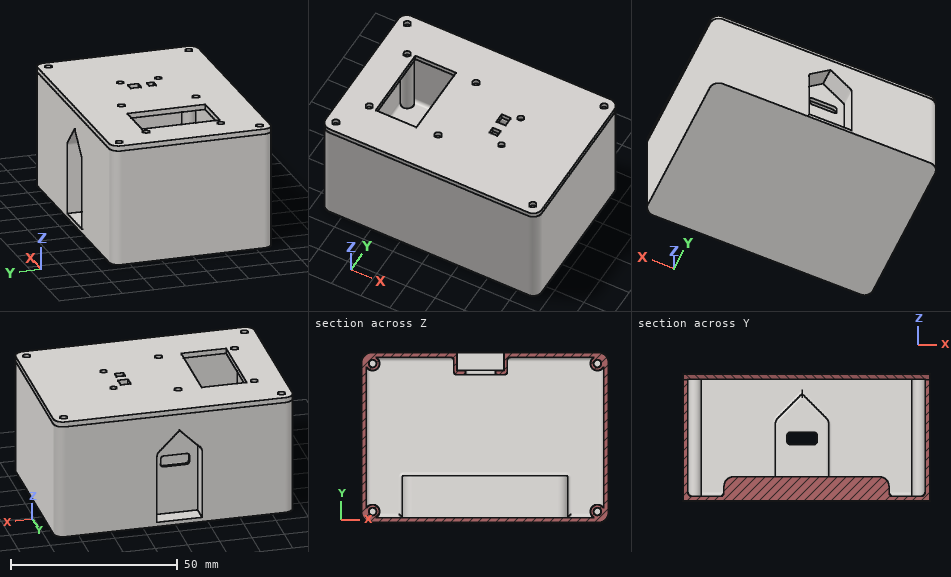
import cadquery as cq

LENGTH = 74.2
WIDTH = 51.1
HEIGHT = 38.2
CORNER_RADIUS = 3.0
LID_THICKNESS = 1.6
BOX_HEIGHT = HEIGHT - LID_THICKNESS

WALL = 1.5
FLOOR = 1.5
INNER_CORNER_RADIUS = CORNER_RADIUS - WALL
BASE_FILLET = 1.25
INNER_BACK = WIDTH / 2 - WALL
INNER_FRONT = -INNER_BACK

RECESS_X = -1.3
RECESS_WIDTH = 14.0
RECESS_SKIN = 1.05
HOUSING_WIDTH = RECESS_WIDTH + 2 * RECESS_SKIN
HOUSING_FACE_Y = 18.85
HOUSING_FACE_THICKNESS = 1.3
EAVES_Z = 24.2
HOUSING_EAVES_RADIUS = 3.0
RECESS_EAVES_RADIUS = HOUSING_EAVES_RADIUS - RECESS_SKIN
HOUSING_FILLET = 0.9

SLOT_WIDTH = 9.0
SLOT_HEIGHT = 3.6
SLOT_Z = 18.85
SLOT_RADIUS = 1.05
SLOT_RIM_FILLET = 0.5

BLOCK_LENGTH = 49.7
BLOCK_FACE_Y = -11.4
BLOCK_HEIGHT = 5.9
BLOCK_END_RADIUS = 3.0
BLOCK_TOP_FILLET = 0.5
BLOCK_FOOT_FILLET = 1.1

SCREW_DIAMETER = 2.2
SCREW_INSET = 3.35
POST_DIAMETER = 4.2

WINDOW_SIZE = (13.95, 24.65)
WINDOW_X = -18.55
DISPLAY_HOLE_X = -16.25
DISPLAY_HOLE_SPACING = 23.6
SENSOR_HOLE_DIAMETER = 2.0
SENSOR_HOLE_X = 14.1
SENSOR_HOLE_SPACING = 12.0
SENSOR_X = 9.95
LARGE_OPENING_SIZE = (3.1, 3.35)
LARGE_OPENING_Y = 2.9
SMALL_OPENING_SIZE = (2.7, 2.15)
SMALL_OPENING_Y = -2.45

PICK = 0.1


def rounded_block(length, width, height, radius):
    """Block centred on the Z axis with rounded upright edges."""
    block = cq.Workplane("XY").box(length, width, height, centered=(True, True, False))
    return block.edges("|Z").fillet(radius)


def cylinders(points, diameter, height):
    return cq.Workplane("XY").pushPoints(points).circle(diameter / 2).extrude(height)


def rectangle_corners(x_center, x_spacing, y_spacing):
    """Corners of a rectangle whose centre is on the X axis."""
    return [
        (x_center + x_side * x_spacing / 2, y_side * y_spacing / 2)
        for x_side in (-1, 1)
        for y_side in (-1, 1)
    ]


def screw_points():
    return rectangle_corners(0, LENGTH - 2 * SCREW_INSET, WIDTH - 2 * SCREW_INSET)


def gabled_prism(width, eaves_radius, y_start, y_end):
    """Prism along Y, from the floor up to a 45 degree gable with rounded eaves."""
    half = width / 2
    prism = (
        cq.Workplane("XZ", origin=(RECESS_X, y_end, 0))
        .moveTo(-half, FLOOR)
        .lineTo(half, FLOOR)
        .lineTo(half, EAVES_Z)
        .lineTo(0, EAVES_Z + half)
        .lineTo(-half, EAVES_Z)
        .close()
        .extrude(y_end - y_start)
    )
    eaves = cq.selectors.BoxSelector(
        (RECESS_X - width, y_start, EAVES_Z - PICK),
        (RECESS_X + width, y_end, EAVES_Z + PICK),
    )
    return prism.edges("|Y").edges(eaves).fillet(eaves_radius)


def make_recess_housing():
    """Solid on the inside of the +Y wall, rounded around its face and where it meets the wall."""
    wall_middle = INNER_BACK + WALL / 2
    housing = gabled_prism(HOUSING_WIDTH, HOUSING_EAVES_RADIUS, HOUSING_FACE_Y, wall_middle)
    face_edges = housing.faces("<Y").edges(
        cq.selectors.BoxSelector(
            (RECESS_X - HOUSING_WIDTH, HOUSING_FACE_Y - PICK, FLOOR + PICK),
            (RECESS_X + HOUSING_WIDTH, HOUSING_FACE_Y + PICK, BOX_HEIGHT),
        )
    )
    housing = face_edges.fillet(HOUSING_FILLET)

    strip_length = 2 * HOUSING_WIDTH
    wall_strip = (
        cq.Workplane("XY", origin=(RECESS_X, INNER_BACK, FLOOR))
        .box(strip_length, WALL / 2, BOX_HEIGHT - FLOOR, centered=(True, False, False))
    )
    housing = housing.union(wall_strip)
    wall_joint = cq.selectors.BoxSelector(
        (RECESS_X - HOUSING_WIDTH / 2 - PICK, INNER_BACK - PICK, FLOOR + PICK),
        (RECESS_X + HOUSING_WIDTH / 2 + PICK, INNER_BACK + PICK, BOX_HEIGHT - PICK),
    )
    return housing.edges(wall_joint).fillet(HOUSING_FILLET)


def make_recess():
    """Gabled hollow behind the face of the housing, open to the outside."""
    recess_floor = HOUSING_FACE_Y + HOUSING_FACE_THICKNESS
    return gabled_prism(RECESS_WIDTH, RECESS_EAVES_RADIUS, recess_floor, WIDTH / 2)


def cut_slot(box):
    """Cut the connector slot and round its inner rim."""
    slot = (
        cq.Workplane("XZ", origin=(RECESS_X, INNER_BACK, SLOT_Z))
        .rect(SLOT_WIDTH, SLOT_HEIGHT)
        .extrude(INNER_BACK - HOUSING_FACE_Y)
        .edges("|Y")
        .fillet(SLOT_RADIUS)
    )
    rim = cq.selectors.BoxSelector(
        (RECESS_X - SLOT_WIDTH, HOUSING_FACE_Y - PICK, SLOT_Z - SLOT_HEIGHT),
        (RECESS_X + SLOT_WIDTH, HOUSING_FACE_Y + PICK, SLOT_Z + SLOT_HEIGHT),
    )
    return box.cut(slot).edges(rim).fillet(SLOT_RIM_FILLET)


def make_floor_block():
    """Raised block with rounded ends and a filleted foot, on a strip of the floor."""
    depth = BLOCK_FACE_Y - INNER_FRONT
    block = cq.Workplane("XY").box(BLOCK_LENGTH, depth, BLOCK_HEIGHT, centered=(True, False, False))
    block = block.edges("|Y and >Z").fillet(BLOCK_END_RADIUS)
    block = block.faces(">Y").edges("not <Z").fillet(BLOCK_TOP_FILLET)

    floor_strip = (
        cq.Workplane("XY", origin=(0, 0, -FLOOR))
        .box(LENGTH - 2 * WALL, 2 * depth, FLOOR, centered=(True, False, False))
    )
    foot = cq.selectors.BoxSelector((-BLOCK_LENGTH, PICK, -PICK), (BLOCK_LENGTH, depth + PICK, PICK))
    block = block.union(floor_strip).edges(foot).fillet(BLOCK_FOOT_FILLET)
    return block.translate((0, INNER_FRONT, FLOOR))


def add_screw_posts(box):
    """Add a post in each corner, with a screw hole down to the floor."""
    post_height = BOX_HEIGHT - FLOOR
    posts = cylinders(screw_points(), POST_DIAMETER, post_height).translate((0, 0, FLOOR))
    holes = cylinders(screw_points(), SCREW_DIAMETER, post_height).translate((0, 0, FLOOR))
    return box.union(posts).cut(holes)


def make_box():
    box = rounded_block(LENGTH, WIDTH, BOX_HEIGHT, CORNER_RADIUS)
    cavity = rounded_block(LENGTH - 2 * WALL, WIDTH - 2 * WALL, BOX_HEIGHT, INNER_CORNER_RADIUS)
    cavity = cavity.faces("<Z").edges().fillet(BASE_FILLET)
    box = box.cut(cavity.translate((0, 0, FLOOR)))
    box = box.union(make_recess_housing()).union(make_floor_block())
    box = cut_slot(box.cut(make_recess()))
    return add_screw_posts(box)


def lid_opening(x, y, size):
    return cq.Workplane("XY").center(x, y).rect(*size).extrude(LID_THICKNESS)


def make_lid():
    lid = rounded_block(LENGTH, WIDTH, LID_THICKNESS, CORNER_RADIUS)

    display_points = rectangle_corners(DISPLAY_HOLE_X, DISPLAY_HOLE_SPACING, DISPLAY_HOLE_SPACING)
    sensor_points = [(SENSOR_HOLE_X, side * SENSOR_HOLE_SPACING / 2) for side in (-1, 1)]
    lid = lid.cut(cylinders(screw_points() + display_points, SCREW_DIAMETER, LID_THICKNESS))
    lid = lid.cut(cylinders(sensor_points, SENSOR_HOLE_DIAMETER, LID_THICKNESS))

    lid = lid.cut(lid_opening(WINDOW_X, 0, WINDOW_SIZE))
    lid = lid.cut(lid_opening(SENSOR_X, LARGE_OPENING_Y, LARGE_OPENING_SIZE))
    lid = lid.cut(lid_opening(SENSOR_X, SMALL_OPENING_Y, SMALL_OPENING_SIZE))
    return lid.translate((0, 0, BOX_HEIGHT))


box = make_box()
lid = make_lid()
result = cq.Compound.makeCompound([box.val(), lid.val()])